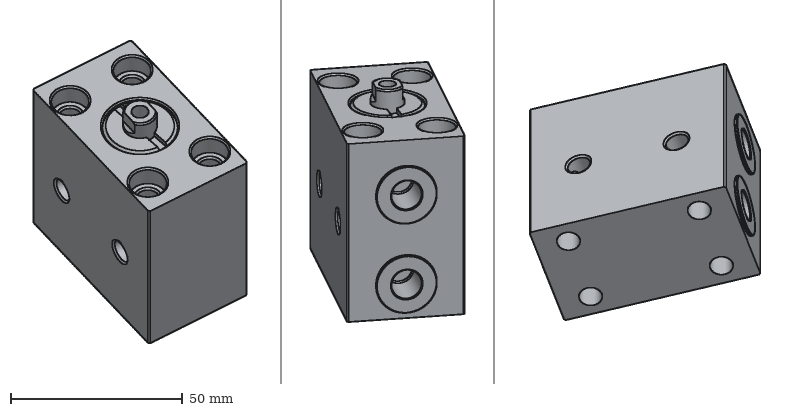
import cadquery as cq
import math


length = 60.0
width = 35.0
height = 56.0
corner_chamfer = 0.5

bolt_pitch_x = 40.0
bolt_pitch_y = 22.0
bolt_hole_dia = 6.8
bolt_hole_mouth_dia = 8.0
counterbore_dia = 11.0
counterbore_mouth_dia = 12.0
counterbore_depth = 6.3

cross_pitch = 30.0
cross_z = 26.0
cross_hole_dia = 6.8
cross_mouth_dia = 8.0

gland_dia = 22.0
gland_depth = 12.0
gland_chamfer = 1.0
gland_mouth_dia = 23.0
slot_width = 3.0
slot_depth = 1.5
slot_angle = 5.0

rod_dia = 10.0
rod_top = 62.0
rod_chamfer = 0.5
rod_across_flats = 8.0
flat_length = 4.0
rod_hole_dia = 5.0
rod_hole_depth = 10.0
drill_point_angle = 118.0

port_pitch = 28.0
lower_port_z = 11.0
flange_dia = 18.1
flange_thickness = 1.0
flange_chamfer = 0.25
stem_dia = 13.0
stem_length = 12.0
port_bore_dia = 8.9
port_mouth_chamfer = 0.3
port_end_dia = 8.0

gland_bottom = height - gland_depth
face_x = -length / 2
port_heights = [lower_port_z, lower_port_z + port_pitch]


def cylinder_z(diameter, bottom, top):
    """Upright cylinder on the Z axis between two heights."""
    return cq.Workplane("XY").workplane(offset=bottom).circle(diameter / 2).extrude(top - bottom)


def mouth_cone(diameter, mouth_dia, centre, outward):
    """45-degree countersink cutter that widens a hole of the given diameter to mouth_dia at centre."""
    depth = (mouth_dia - diameter) / 2
    inward = cq.Vector(*outward) * -1
    cone = cq.Solid.makeCone(mouth_dia / 2, diameter / 2, depth, cq.Vector(*centre), inward)
    return cq.Workplane(obj=cone)


def cut_bolt_holes(body):
    shelf_z = height - counterbore_depth
    for x in (-bolt_pitch_x / 2, bolt_pitch_x / 2):
        for y in (-bolt_pitch_y / 2, bolt_pitch_y / 2):
            hole = cylinder_z(bolt_hole_dia, 0, height).union(cylinder_z(counterbore_dia, shelf_z, height))
            body = body.cut(hole.translate((x, y, 0)))
            body = body.cut(mouth_cone(bolt_hole_dia, bolt_hole_mouth_dia, (x, y, shelf_z), (0, 0, 1)))
            body = body.cut(mouth_cone(counterbore_dia, counterbore_mouth_dia, (x, y, height), (0, 0, 1)))
    return body


def cut_cross_holes(body):
    for x in (-cross_pitch / 2, cross_pitch / 2):
        hole = cq.Workplane("XZ").center(x, cross_z).circle(cross_hole_dia / 2).extrude(width / 2, both=True)
        body = body.cut(hole)
        for side in (-1, 1):
            centre = (x, side * width / 2, cross_z)
            body = body.cut(mouth_cone(cross_hole_dia, cross_mouth_dia, centre, (0, side, 0)))
    return body


def cut_gland_seat(body):
    body = body.cut(cylinder_z(gland_dia, gland_bottom, height))
    return body.cut(mouth_cone(gland_dia, gland_mouth_dia, (0, 0, height), (0, 0, 1)))


def cut_port_seats(body):
    for z in port_heights:
        seat = cq.Workplane("YZ", origin=(face_x, 0, z)).circle(stem_dia / 2).extrude(stem_length)
        body = body.cut(seat)
    return body


def make_housing():
    body = cq.Workplane("XY").box(length, width, height, centered=(True, True, False))
    body = body.edges("|Z").chamfer(corner_chamfer)
    body = cut_bolt_holes(body)
    body = cut_cross_holes(body)
    body = cut_gland_seat(body)
    return cut_port_seats(body)


def make_gland():
    body = cylinder_z(gland_dia, gland_bottom, height).faces(">Z").chamfer(gland_chamfer)
    slot = (
        cq.Workplane("XY", origin=(0, 0, height - slot_depth))
        .rect(2 * gland_dia, slot_width)
        .extrude(slot_depth)
        .rotate((0, 0, 0), (0, 0, 1), slot_angle)
    )
    return body.cut(slot).cut(cylinder_z(rod_dia, gland_bottom, height))


def make_rod():
    body = cylinder_z(rod_dia, gland_bottom, rod_top).faces(">Z").chamfer(rod_chamfer)

    flat_y = rod_across_flats / 2
    flat_z = rod_top - flat_length
    shoulder = rod_dia - flat_y
    flat_cut = (
        cq.Workplane("YZ")
        .moveTo(flat_y, rod_top)
        .lineTo(flat_y, flat_z)
        .lineTo(rod_dia, flat_z - shoulder)
        .lineTo(rod_dia, rod_top)
        .close()
        .extrude(rod_dia, both=True)
    )
    body = body.cut(flat_cut).cut(flat_cut.mirror("XZ"))

    point_depth = rod_hole_dia / 2 / math.tan(math.radians(drill_point_angle / 2))
    hole = (
        cq.Workplane("XZ")
        .moveTo(0, rod_top)
        .lineTo(rod_hole_dia / 2, rod_top)
        .lineTo(rod_hole_dia / 2, rod_top - rod_hole_depth)
        .lineTo(0, rod_top - rod_hole_depth - point_depth)
        .close()
        .revolve(360, (0, 0, 0), (0, 1, 0))
    )
    return body.cut(hole)


def make_port_adapter(z):
    """Flanged sleeve whose bore tapers at 45 degrees at its inner end, next to the floor of its seat."""
    flange = (
        cq.Workplane("YZ", origin=(face_x, 0, z))
        .circle(flange_dia / 2)
        .extrude(-flange_thickness)
        .faces("|X")
        .chamfer(flange_chamfer)
    )
    stem = cq.Workplane("YZ", origin=(face_x, 0, z)).circle(stem_dia / 2).extrude(stem_length)
    mouth_x = face_x - flange_thickness
    end_x = face_x + stem_length
    bore_radius = port_bore_dia / 2
    end_radius = port_end_dia / 2
    bore = (
        cq.Workplane("XY", origin=(0, 0, z))
        .moveTo(mouth_x, 0)
        .lineTo(mouth_x, bore_radius + port_mouth_chamfer)
        .lineTo(mouth_x + port_mouth_chamfer, bore_radius)
        .lineTo(end_x - (bore_radius - end_radius), bore_radius)
        .lineTo(end_x, end_radius)
        .lineTo(end_x, 0)
        .close()
        .revolve(360, (0, 0, 0), (1, 0, 0))
    )
    return flange.union(stem).cut(bore)


housing = make_housing()
gland = make_gland()
rod = make_rod()
port_adapters = [make_port_adapter(z) for z in port_heights]

result = cq.Compound.makeCompound(
    [housing.val(), gland.val(), rod.val(), *[adapter.val() for adapter in port_adapters]]
)